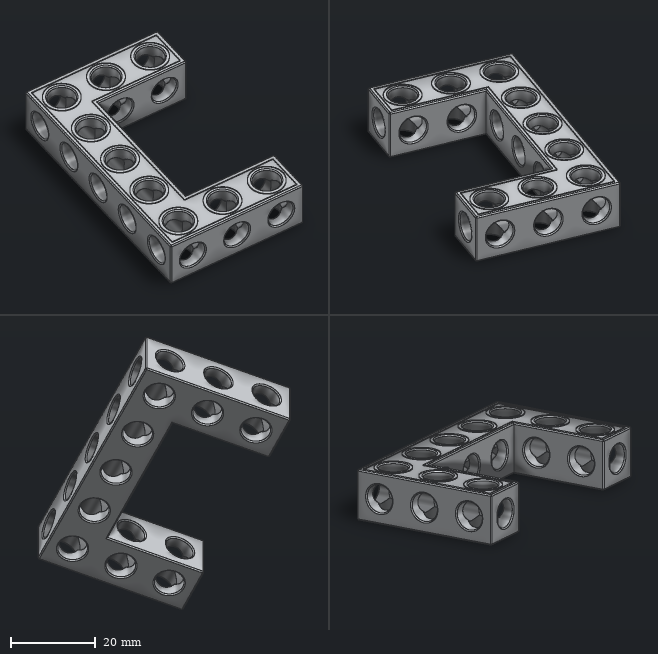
import cadquery as cq

pitch = 12.5
columns = 5
rows = 3
length = columns * pitch
width = rows * pitch
height = pitch

bore_diameter = 7.0
mouth_bevel = 0.3
edge_bevel = 0.3

rim_width = 1.1
ring_diameter = 9.2
recess_depth = 0.2


def u_outline(inset, bottom, thickness):
    """U-shaped plate, open towards +Y, with its outline moved inwards by inset."""
    outer_x = length / 2 - inset
    inner_x = length / 2 - pitch + inset
    outer_y = width / 2 - inset
    inner_y = pitch - width / 2 - inset
    points = [
        (-outer_x, -outer_y),
        (outer_x, -outer_y),
        (outer_x, outer_y),
        (inner_x, outer_y),
        (inner_x, inner_y),
        (-inner_x, inner_y),
        (-inner_x, outer_y),
        (-outer_x, outer_y),
    ]
    return cq.Workplane("XY").workplane(offset=bottom).polyline(points).close().extrude(thickness)


def bevelled_bore(start, direction, depth):
    """Cutter for a straight bore through a wall, widened by a bevel at both mouths."""
    radius = bore_diameter / 2
    profile = [
        (0, 0),
        (radius + mouth_bevel, 0),
        (radius, mouth_bevel),
        (radius, depth - mouth_bevel),
        (radius + mouth_bevel, depth),
        (0, depth),
    ]
    cutter = cq.Workplane("XZ").polyline(profile).close().revolve(360, (0, 0, 0), (0, 1, 0))
    return cutter.val().moved(cq.Location(cq.Plane(origin=start, normal=direction)))


column_x = [(i - (columns - 1) / 2) * pitch for i in range(columns)]
row_y = [(j - (rows - 1) / 2) * pitch for j in range(rows)]
left_x, right_x = column_x[0], column_x[-1]
crossbar_y = row_y[0]

cells = [(x, y) for x in column_x for y in row_y if y == crossbar_y or x in (left_x, right_x)]

body = u_outline(0, 0, height)
outer_corners = body.faces("<Y or >Y").edges("|Z")
body = body.faces("<Z or >Z").edges().add(outer_corners).chamfer(edge_bevel)

rings = (
    cq.Workplane("XY")
    .workplane(offset=height - recess_depth)
    .pushPoints(cells)
    .circle(ring_diameter / 2)
    .extrude(recess_depth)
)
recess = u_outline(rim_width, height - recess_depth, recess_depth).cut(rings)
result = body.cut(recess)

for x, y in cells:
    result = result.cut(bevelled_bore((x, y, 0), (0, 0, 1), height))

for x in column_x:
    depth = width if x in (left_x, right_x) else pitch
    result = result.cut(bevelled_bore((x, -width / 2, height / 2), (0, 1, 0), depth))

for y in row_y:
    in_crossbar = y == crossbar_y
    depth = length if in_crossbar else pitch
    for x in [left_x] if in_crossbar else [left_x, right_x]:
        result = result.cut(bevelled_bore((x - pitch / 2, y, height / 2), (1, 0, 0), depth))